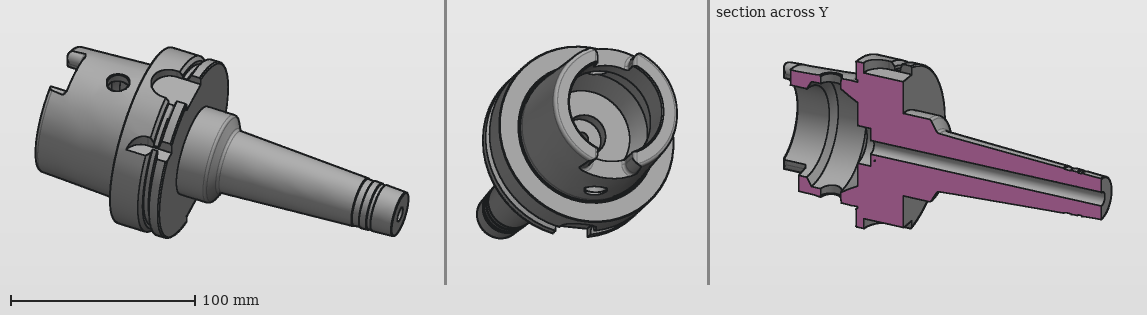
import cadquery as cq
import math


shank_length = 50.0
nose_tip = 150.0

shank_seat_dia = 76.0
shank_slope = 0.05
shank_end_round = 2.0

undercut_start_x = -2.5
undercut_floor_x = -1.8
undercut_floor_dia = 75.5
undercut_face_depth = 0.8
undercut_outer_dia = 78.5

mouth_dia = 53.0
mouth_chamfer = 0.8
mouth_depth = 20.0
bore_dia = 50.0
clamp_groove_dia = 63.0
clamp_shoulder_angle = 60.0
clamp_groove_end = 40.0
bore_depth = 51.0
socket_dia = 22.5
socket_depth = 8.0
through_dia = 8.0
cross_hole_dia = 12.0
cross_hole_rim_dia = 12.5
cross_hole_rim_level = 36.0
cross_hole_x = -15.5

flange_dia = 100.0
flange_width = 29.0
flange_front_chamfer = 0.5
flange_rear_chamfer = 0.8
groove_floor_dia = 91.5
groove_front_x = 16.5
groove_rear_x = 23.2
groove_floor_front_x = 18.5
groove_floor_rear_x = 21.5
groove_foot_round = 0.8
groove_front_lip_dia = 95.2

hub_dia = 50.0
hub_corner_x = 45.5
shoulder_angle = 60.0
shoulder_round = 2.0
nose_tip_dia = 25.0
nose_angle = 3.0
nose_chamfer = 0.5
ring_groove_depth = 0.5
ring_groove_wall = 0.5
ring_grooves = [(126.8, 131.5), (135.2, 138.0)]

slot_half_width = 10.0
slot_depth_top = 10.0
slot_depth_bottom = 15.0
slot_flare_radius = 5.0
slot_flare_height = 32.2
slot_floor_round = 1.8
slot_mouth_round = 2.0
slot_inner = 16.0
slot_outer = 44.0
slot_outer_half_width = 18.0
cutter_margin = 10.0

keyway_width = 20.0
keyway_start = 4.8
keyway_floor = 44.0
notch_offset = 31.5

shank_end = -shank_length
flange_radius = flange_dia / 2
nose_slope = math.tan(math.radians(nose_angle))


def shank_radius(x):
    return shank_seat_dia / 2 + shank_slope * x


def nose_radius(x):
    return nose_tip_dia / 2 + nose_slope * (nose_tip - x)


def revolve_about_x(points):
    """Close an (x, radius) outline along the axis and turn it about X."""
    closed = [(points[0][0], 0)] + points + [(points[-1][0], 0)]
    return cq.Workplane("XY").polyline(closed).close().revolve(360, (0, 0, 0), (1, 0, 0))


def revolve_ring(points):
    """Turn a closed (x, radius) outline that stays off the axis about X."""
    return cq.Workplane("XY").polyline(points).close().revolve(360, (0, 0, 0), (1, 0, 0))


def make_shank():
    cone = revolve_about_x([(shank_end, shank_radius(shank_end)), (0, shank_radius(0))])
    return cone.faces("<X").edges().fillet(shank_end_round)


def make_undercut():
    floor_radius = undercut_floor_dia / 2
    outer_radius = undercut_outer_dia / 2
    return revolve_ring([
        (undercut_start_x, shank_radius(undercut_start_x)),
        (undercut_floor_x, floor_radius),
        (undercut_face_depth, floor_radius),
        (undercut_face_depth, outer_radius - undercut_face_depth),
        (0, outer_radius),
        (undercut_start_x, outer_radius),
    ])


def make_flange():
    flange = revolve_about_x([
        (0, flange_radius - flange_front_chamfer),
        (flange_front_chamfer, flange_radius),
        (groove_front_x, flange_radius),
        (groove_floor_front_x, groove_front_lip_dia / 2),
        (groove_floor_front_x, groove_floor_dia / 2),
        (groove_floor_rear_x, groove_floor_dia / 2),
        (groove_rear_x, flange_radius),
        (flange_width - flange_rear_chamfer, flange_radius),
        (flange_width, flange_radius - flange_rear_chamfer),
    ])
    groove_foot = cq.selectors.NearestToPointSelector((groove_floor_rear_x, 0, 0))
    return flange.edges(groove_foot).fillet(groove_foot_round)


def make_nose():
    hub_radius = hub_dia / 2
    shoulder_slope = math.tan(math.radians(shoulder_angle))
    drop = hub_radius - nose_radius(hub_corner_x)
    taper_start = hub_corner_x + drop / (shoulder_slope - nose_slope)
    nose = revolve_about_x([
        (flange_width, hub_radius),
        (hub_corner_x, hub_radius),
        (taper_start, nose_radius(taper_start)),
        (nose_tip - nose_chamfer, nose_radius(nose_tip - nose_chamfer)),
        (nose_tip, nose_radius(nose_tip) - nose_chamfer),
    ])
    shoulder_edges = cq.selectors.BoxSelector(
        (hub_corner_x - nose_chamfer, -hub_dia, -hub_dia),
        (taper_start + nose_chamfer, hub_dia, hub_dia),
        boundingbox=True,
    )
    nose = nose.edges(shoulder_edges).fillet(shoulder_round)
    for start, end in ring_grooves:
        nose = nose.cut(make_ring_groove(start, end))
    return nose


def make_ring_groove(start, end):
    floor_start = start + ring_groove_wall
    floor_end = end - ring_groove_wall
    return revolve_ring([
        (start, nose_radius(start)),
        (floor_start, nose_radius(floor_start) - ring_groove_depth),
        (floor_end, nose_radius(floor_end) - ring_groove_depth),
        (end, nose_radius(end)),
        (end, hub_dia / 2),
        (start, hub_dia / 2),
    ])


def make_bore():
    groove_start = shank_end + mouth_depth
    groove_rise = (clamp_groove_dia - mouth_dia) / 2
    groove_full = groove_start + groove_rise / math.tan(math.radians(clamp_shoulder_angle))
    groove_end = shank_end + clamp_groove_end
    floor = shank_end + bore_depth
    return revolve_about_x([
        (shank_end, mouth_dia / 2 + mouth_chamfer),
        (shank_end + mouth_chamfer, mouth_dia / 2),
        (groove_start, mouth_dia / 2),
        (groove_full, clamp_groove_dia / 2),
        (groove_end, clamp_groove_dia / 2),
        (floor, bore_dia / 2),
        (floor, socket_dia / 2),
        (floor + socket_depth, socket_dia / 2),
        (floor + socket_depth, through_dia / 2),
        (nose_tip, through_dia / 2),
    ])


def make_cross_hole():
    """Cutter along Z through both walls of the shank, slightly wider at each rim."""
    hole = cq.Workplane("XY").center(cross_hole_x, 0).circle(cross_hole_dia / 2)
    hole = hole.extrude(flange_radius, both=True)
    rim = cq.Workplane("XY", origin=(cross_hole_x, 0, cross_hole_rim_level)).circle(cross_hole_rim_dia / 2)
    rim = rim.extrude(flange_radius - cross_hole_rim_level)
    return hole.union(rim).union(flip_to_bottom(rim))


def flip_to_bottom(shape):
    return shape.rotate((0, 0, 0), (1, 0, 0), 180)


def make_drive_slot(depth):
    """Cutter for a drive slot on the +Z side, with flared corners outside and a rounded floor."""
    flare_start = slot_flare_height - slot_flare_radius
    flare_end = slot_half_width + slot_flare_radius
    arc_inset = slot_flare_radius * (1 - math.sqrt(0.5))
    arc_middle = (slot_half_width + arc_inset, slot_flare_height - arc_inset)
    left_arc_middle = (-arc_middle[0], arc_middle[1])
    body = (
        cq.Workplane("YZ", origin=(shank_end - cutter_margin, 0, 0))
        .moveTo(-slot_half_width, slot_inner)
        .lineTo(slot_half_width, slot_inner)
        .lineTo(slot_half_width, flare_start)
        .threePointArc(arc_middle, (flare_end, slot_flare_height))
        .lineTo(slot_outer_half_width, slot_flare_height)
        .lineTo(slot_outer_half_width, slot_outer)
        .lineTo(-slot_outer_half_width, slot_outer)
        .lineTo(-slot_outer_half_width, slot_flare_height)
        .lineTo(-flare_end, slot_flare_height)
        .threePointArc(left_arc_middle, (-slot_half_width, flare_start))
        .close()
        .extrude(cutter_margin + depth)
    )
    body = body.faces(">X").edges().fillet(slot_floor_round)

    mouth_half_width = slot_half_width + slot_mouth_round
    round_end = shank_end + slot_mouth_round
    round_inset = slot_mouth_round * (1 - math.sqrt(0.5))
    round_middle = (shank_end + round_inset, slot_half_width + round_inset)
    mouth = (
        cq.Workplane("XY", origin=(0, 0, slot_inner))
        .moveTo(shank_end, -mouth_half_width)
        .threePointArc((round_middle[0], -round_middle[1]), (round_end, -slot_half_width))
        .lineTo(round_end, slot_half_width)
        .threePointArc(round_middle, (shank_end, mouth_half_width))
        .close()
        .extrude(slot_outer - slot_inner)
    )
    return body.union(mouth)


def make_rim_slot(center_y, floor):
    """Round-ended slot cutter, open to the rear of the flange, above Z = floor."""
    radius = keyway_width / 2
    center_x = keyway_start + radius
    length = flange_width - center_x
    plane = cq.Workplane("XY", origin=(center_x, center_y, floor))
    round_end = plane.circle(radius).extrude(flange_radius)
    straight = plane.center(length / 2, 0).rect(length, keyway_width).extrude(flange_radius)
    return round_end.union(straight)


keyway = make_rim_slot(0, keyway_floor)
notch = make_rim_slot(-(notch_offset + keyway_width / 2), notch_offset)
cutters = [
    make_undercut(),
    make_bore(),
    make_cross_hole(),
    make_drive_slot(slot_depth_top),
    flip_to_bottom(make_drive_slot(slot_depth_bottom)),
    keyway,
    flip_to_bottom(keyway),
    notch,
]

result = make_shank().union(make_flange()).union(make_nose())
for cutter in cutters:
    result = result.cut(cutter)